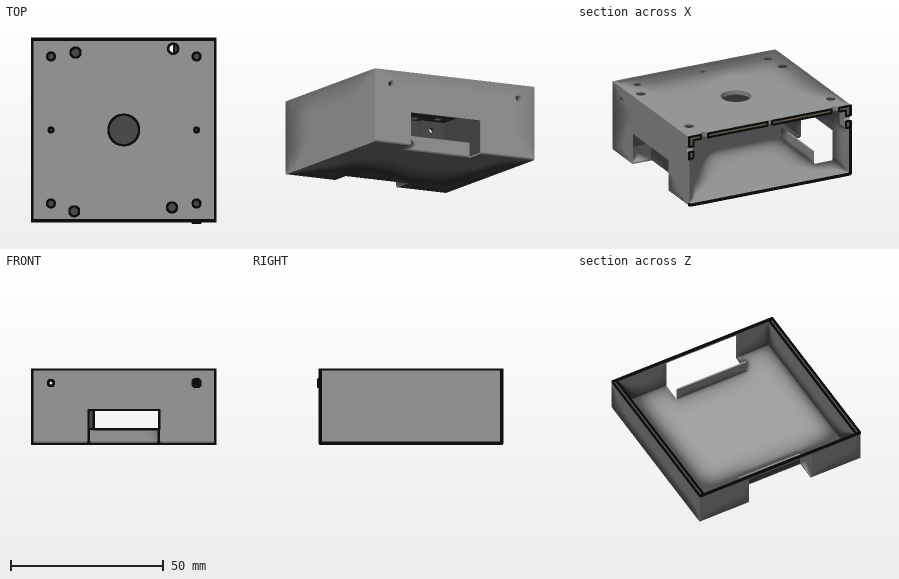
import cadquery as cq
import math

width = 60.0
height = 24.5
overall_depth = 60.55
half = width / 2

sheet = 0.5
bend_inner = 0.25
bend_radius = bend_inner + sheet
window_top = 11.15
cutout_depth = 7.8
front_window = (-11.6, 11.6)
back_window = (-9.8, 16.45)
tab_height = 4.95
tab_side_gap = 0.25

plate = 1.5
cover_half_y = half - sheet
lug_width = 10.35
lug_height = 7.9
center_hole = 10.05
fixing_hole = 2.55
fixing_y = 24.1
pin_hole = 1.5
access_hole = 3.25
access_points = [(16.2, 26.65), (15.8, -25.4)]

screw_x = 23.85
screw_z = 20.05
clearance_hole = 2.05
thread_hole = 1.7
head_diameter = 2.7
head_height = overall_depth - width
head_top_diameter = 1.6
socket_corners = 1.1
socket_depth = 0.35


def box(x_range, y_range, z_range):
    """Axis-aligned block spanning the given ranges."""
    size = [high - low for low, high in (x_range, y_range, z_range)]
    corner = (x_range[0], y_range[0], z_range[0])
    return cq.Workplane("XY").box(*size, centered=False).translate(corner)


def drill_along_y(diameter, x):
    """Cylinder through the whole case along Y, at screw height."""
    plane = cq.Workplane("XZ", origin=(x, 0, screw_z))
    return plane.circle(diameter / 2).extrude(width, both=True)


def fold_profile(x_start, y_outer, side, fold_height, floor_length):
    """YZ outline of an upright flange folded from the floor; side is -1 when it faces -Y, 1 when +Y."""
    diagonal = math.sqrt(0.5)
    y_center = y_outer - side * bend_radius
    y_inner = y_outer - side * sheet
    y_floor_end = y_outer - side * floor_length
    outer_mid = (y_center + side * bend_radius * diagonal, bend_radius * (1 - diagonal))
    inner_mid = (y_center + side * bend_inner * diagonal, bend_radius - bend_inner * diagonal)
    return (
        cq.Workplane("YZ", origin=(x_start, 0, 0))
        .moveTo(y_floor_end, 0)
        .lineTo(y_center, 0)
        .threePointArc(outer_mid, (y_outer, bend_radius))
        .lineTo(y_outer, fold_height)
        .lineTo(y_inner, fold_height)
        .lineTo(y_inner, bend_radius)
        .threePointArc(inner_mid, (y_center, sheet))
        .lineTo(y_floor_end, sheet)
        .close()
    )


def wall_opening(side, x_range):
    """Wall window and the floor cutout joined to it."""
    y_range = sorted((side * width, side * (half - cutout_depth)))
    return box(x_range, y_range, (-height, window_top))


def tab(side, x_range):
    """Lip folded up from the floor at the inner end of a cutout."""
    x_start = x_range[0] + tab_side_gap
    length = x_range[1] - x_range[0] - 2 * tab_side_gap
    y_outer = side * (half - cutout_depth + bend_radius)
    return fold_profile(x_start, y_outer, side, tab_height, 2 * bend_radius).extrude(length)


def make_base():
    front, back = [
        fold_profile(-half, side * half, side, height, half).extrude(width)
        for side in (-1, 1)
    ]
    base = front.union(back)
    for side, x_range in ((-1, front_window), (1, back_window)):
        base = base.cut(wall_opening(side, x_range)).union(tab(side, x_range))
    for x in (-screw_x, screw_x):
        base = base.cut(drill_along_y(clearance_hole, x))
    return base.clean()


def make_cover():
    y_range = (-cover_half_y, cover_half_y)
    cover = box((-half, half), y_range, (sheet, height))
    cover = cover.edges("|X").edges("<Z").fillet(bend_inner)
    cavity = box((plate - half, half - plate), (-width, width), (-height, height - plate))
    cover = cover.cut(cavity)

    for x_low, x_high in ((-half, lug_width - half), (half - lug_width, half)):
        for y_low in (-cover_half_y, cover_half_y - plate):
            lug = box((x_low, x_high), (y_low, y_low + plate), (height - lug_height, height))
            cover = cover.union(lug)

    top = cq.Workplane("XY", origin=(0, 0, height - plate))
    fixing_points = [(x, y) for x in (-screw_x, screw_x) for y in (-fixing_y, fixing_y)]
    access_all = access_points + [(-x, -y) for x, y in access_points]
    pin_points = [(-screw_x, 0), (screw_x, 0)]
    hole_sets = (
        (center_hole, [(0, 0)]),
        (fixing_hole, fixing_points),
        (pin_hole, pin_points),
        (access_hole, access_all),
    )
    for diameter, points in hole_sets:
        cover = cover.cut(top.pushPoints(points).circle(diameter / 2).extrude(plate))

    for x in (-screw_x, screw_x):
        cover = cover.cut(drill_along_y(thread_hole, x))
    return cover


def make_screw():
    """Round-headed socket screw in the front wall, at +X; built with its head's flat end at Y = 0."""
    head_radius = head_diameter / 2
    flat_radius = head_top_diameter / 2
    shank_radius = thread_hole / 2
    diagonal = math.sqrt(0.5)
    rim_mid = (
        flat_radius + (head_radius - flat_radius) * diagonal,
        head_height * (1 - diagonal),
    )
    shank_end = head_height + sheet + plate
    profile = (
        cq.Workplane("XY")
        .lineTo(flat_radius, 0)
        .threePointArc(rim_mid, (head_radius, head_height))
        .lineTo(shank_radius, head_height)
        .lineTo(shank_radius, shank_end)
        .lineTo(0, shank_end)
        .close()
    )
    screw = profile.revolve(360, (0, 0, 0), (0, 1, 0))
    socket = cq.Workplane("XZ").polygon(6, socket_corners).extrude(-socket_depth)
    return screw.cut(socket).translate((screw_x, -half - head_height, screw_z))


base = make_base()
cover = make_cover()
screw = make_screw()

result = cq.Compound.makeCompound([base.val(), cover.val(), screw.val()])